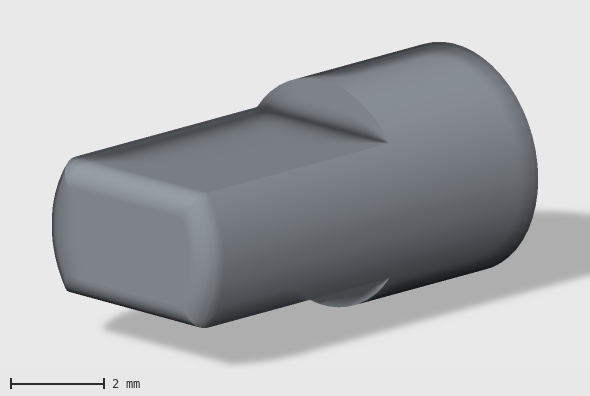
import cadquery as cq

length = 10
diameter = 5
tongue_length = 6
tongue_thickness = 3
end_radius = 0.5

shank_length = length - tongue_length
half_length = length / 2


def round_bar(bar_length):
    """Cylinder running from the +Y end face toward -Y."""
    return (
        cq.Workplane("XZ", origin=(0, half_length, 0))
        .circle(diameter / 2)
        .extrude(bar_length)
    )


def tongue():
    """Full-length bar with two flats and a rounded -Y end."""
    slab = cq.Workplane("XY").box(diameter, length, tongue_thickness)
    flat_bar = round_bar(length).intersect(slab)
    return flat_bar.faces("<Y").edges().fillet(end_radius)


result = round_bar(shank_length).union(tongue())